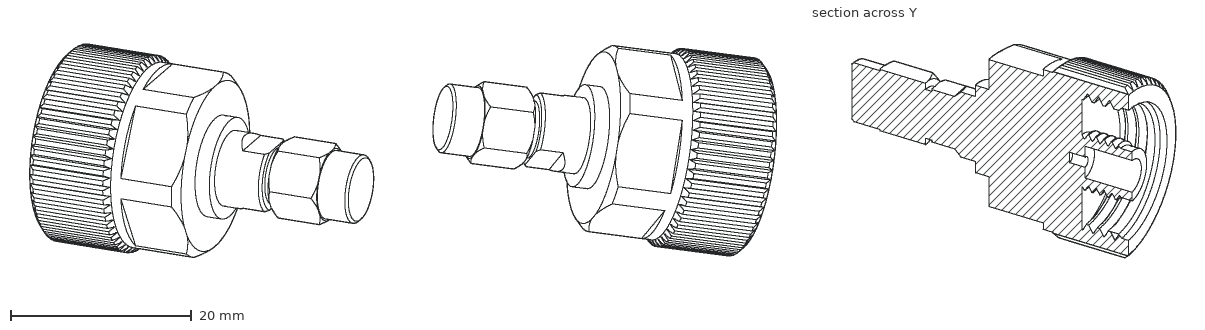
import cadquery as cq
import math

nut_front_x = 0.43
knurl_end_x = 10.2
hex_start_x = 11.4
hex_end_x = 18.34
flange_end_x = 20.07
shank_end_x = 25.67
neck_end_x = 26.43
small_hex_end_x = 32.3
total_length = 35.9

knurl_radius = 22.13 / 2
nut_radius = 10.4
knurl_chamfer = knurl_radius - nut_radius
knurl_count = 60
knurl_root_radius = 10.48
knurl_groove_width = 0.58
hex_across_flats = 19.1
hex_face_radius = 9.58

socket_radius = 8.0
socket_mouth_radius = 8.42
socket_mouth_end_x = 1.3
socket_floor_x = 6.4
socket_thread_pitch = 1.4
socket_thread_mouth = 1.08
socket_thread_depth = 0.95
socket_thread_start_x = 2.2

thread_end_x = socket_floor_x + socket_thread_pitch
plug_radius = 9.3
plug_end_x = thread_end_x + socket_thread_pitch

post_radius = 3.68
post_tip_radius = 3.21
post_tip_end_x = 1.45
post_bore_radius = 2.03
post_bore_depth = 6.0
pin_hole_radius = 0.64
pin_hole_depth = 2.0
post_thread_pitch = 1.0
post_thread_mouth = 0.85
post_thread_depth = 0.7
post_thread_start_x = 1.6

flange_radius = 5.7
shank_radius = 4.25
shank_chamfer = 0.32
wrench_flat_offset = 3.43
wrench_ramp_start_x = 21.9
neck_radius = 3.2
small_hex_across_flats = 8.0
small_hex_corner_radius = small_hex_across_flats / math.sqrt(3)
small_hex_chamfer = 0.45
small_hex_face_radius = 4.05
ferrule_radius = 3.85
ferrule_chamfer = 0.3

cut_margin = 1.0


def revolve(points):
    """Solid of revolution about X from (x, radius) points closed along the axis."""
    closed = [(points[0][0], 0)] + points + [(points[-1][0], 0)]
    return cq.Workplane("XY").polyline(closed).close().revolve(360, (0, 0, 0), (1, 0, 0))


def disc(start_x, end_x, radius):
    return revolve([(start_x, radius), (end_x, radius)])


def hexagon(start_x, end_x, across_flats):
    """Hexagonal bar along X with flats facing +Z and -Z."""
    corner_diameter = 2 * across_flats / math.sqrt(3)
    plane = cq.Workplane("YZ", origin=(start_x, 0, 0))
    return plane.polygon(6, corner_diameter).extrude(end_x - start_x)


def knurled_ring():
    ring = revolve([
        (nut_front_x, nut_radius),
        (nut_front_x + knurl_chamfer, knurl_radius),
        (knurl_end_x - knurl_chamfer, knurl_radius),
        (knurl_end_x, nut_radius),
    ])
    overshoot = 1.5
    groove_depth = knurl_radius - knurl_root_radius
    half_width = knurl_groove_width / 2 * overshoot
    groove = (
        cq.Workplane("YZ")
        .moveTo(0, knurl_root_radius)
        .lineTo(half_width, knurl_root_radius + groove_depth * overshoot)
        .lineTo(-half_width, knurl_root_radius + groove_depth * overshoot)
        .close()
        .extrude(knurl_end_x)
    )
    grooves = cq.Compound.makeCompound([
        groove.rotate((0, 0, 0), (1, 0, 0), i * 360 / knurl_count).val()
        for i in range(knurl_count)
    ])
    return ring.cut(cq.Workplane(obj=grooves))


def nut_hex():
    collar = disc(knurl_end_x, hex_start_x, nut_radius)
    chamfer = nut_radius - hex_face_radius
    envelope = revolve([
        (hex_start_x, nut_radius),
        (hex_end_x - chamfer, nut_radius),
        (hex_end_x, hex_face_radius),
    ])
    return collar.union(envelope.intersect(hexagon(hex_start_x, hex_end_x, hex_across_flats)))


def thread_groove(pitch, start_x, surface_radius, mouth_width, depth):
    """Helical V groove about X running past the socket floor; a negative depth cuts towards the axis."""
    direction = math.copysign(1, depth)
    clearance = 0.1
    half_mouth = mouth_width / 2
    flank_slope = half_mouth / abs(depth)
    outer_half = half_mouth + clearance * flank_slope
    open_radius = surface_radius - direction * clearance
    helix = cq.Wire.makeHelix(pitch, thread_end_x - start_x, surface_radius)
    groove = (
        cq.Workplane("XZ")
        .moveTo(open_radius, -outer_half)
        .lineTo(surface_radius + depth, 0)
        .lineTo(open_radius, outer_half)
        .close()
        .sweep(cq.Workplane(obj=helix), isFrenet=True)
    )
    return groove.rotate((0, 0, 0), (0, 1, 0), 90).translate((start_x, 0, 0))


def socket():
    mouth_chamfer = socket_mouth_radius - socket_radius
    bore = revolve([
        (nut_front_x, socket_mouth_radius),
        (socket_mouth_end_x, socket_mouth_radius),
        (socket_mouth_end_x + mouth_chamfer, socket_radius),
        (plug_end_x, socket_radius),
    ])
    groove = thread_groove(
        socket_thread_pitch,
        socket_thread_start_x,
        socket_radius,
        socket_thread_mouth,
        socket_thread_depth,
    )
    return bore, groove


def centre_post():
    post = revolve([
        (0, post_tip_radius),
        (post_tip_end_x, post_tip_radius),
        (post_tip_end_x + post_radius - post_tip_radius, post_radius),
        (plug_end_x, post_radius),
    ])
    groove = thread_groove(
        post_thread_pitch,
        post_thread_start_x,
        post_radius,
        post_thread_mouth,
        -post_thread_depth,
    )
    bore = disc(0, post_bore_depth, post_bore_radius)
    return post.cut(groove).cut(bore)


def shank():
    body = revolve([
        (flange_end_x, shank_radius),
        (shank_end_x - shank_chamfer, shank_radius),
        (shank_end_x, shank_radius - shank_chamfer),
    ])
    flat_depth = shank_radius - wrench_flat_offset
    ramp_run = flat_depth + cut_margin
    for side in (1, -1):
        cutter = (
            cq.Workplane("XZ")
            .moveTo(wrench_ramp_start_x + flat_depth, side * wrench_flat_offset)
            .lineTo(shank_end_x, side * wrench_flat_offset)
            .lineTo(shank_end_x, side * (wrench_flat_offset + ramp_run))
            .lineTo(wrench_ramp_start_x - cut_margin, side * (wrench_flat_offset + ramp_run))
            .close()
            .extrude(shank_radius, both=True)
        )
        body = body.cut(cutter)
    return body


def small_hex():
    envelope = revolve([
        (neck_end_x, small_hex_face_radius),
        (neck_end_x + small_hex_chamfer, small_hex_corner_radius),
        (small_hex_end_x - small_hex_chamfer, small_hex_corner_radius),
        (small_hex_end_x, small_hex_face_radius),
    ])
    return envelope.intersect(hexagon(neck_end_x, small_hex_end_x, small_hex_across_flats))


def ferrule():
    return revolve([
        (small_hex_end_x, ferrule_radius),
        (total_length - ferrule_chamfer, ferrule_radius),
        (total_length, ferrule_radius - ferrule_chamfer),
    ])


socket_bore, socket_groove = socket()
nut = knurled_ring().union(nut_hex()).cut(socket_bore).cut(socket_groove)
pin_hole = disc(post_bore_depth, post_bore_depth + pin_hole_depth, pin_hole_radius)

result = (
    nut
    .union(centre_post())
    .union(disc(socket_floor_x, plug_end_x, plug_radius))
    .union(disc(hex_end_x, flange_end_x, flange_radius))
    .union(shank())
    .union(disc(shank_end_x, neck_end_x, neck_radius))
    .union(small_hex())
    .union(ferrule())
    .cut(pin_hole)
)